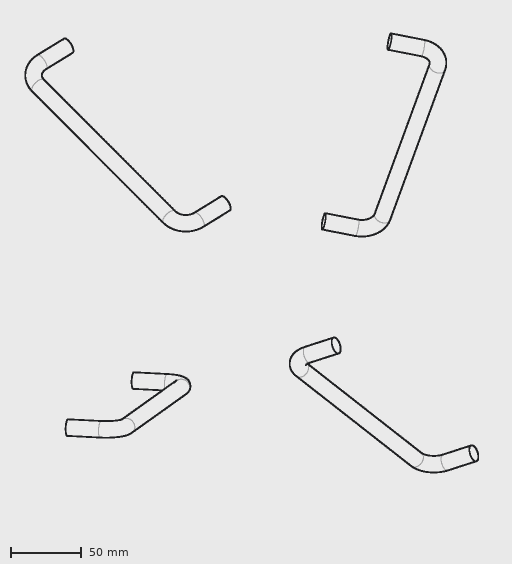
import cadquery as cq

length = 192.0
depth = 45.0
rod_diameter = 12.0
bend_radius = 15.0

rod_radius = rod_diameter / 2
leg_x = length / 2 - rod_radius
grip_y = -(depth - rod_radius)
bend_start_y = grip_y + bend_radius
grip_end_x = leg_x - bend_radius

centreline = (
    cq.Workplane("XY")
    .moveTo(-leg_x, 0)
    .lineTo(-leg_x, bend_start_y)
    .radiusArc((-grip_end_x, grip_y), -bend_radius)
    .lineTo(grip_end_x, grip_y)
    .radiusArc((leg_x, bend_start_y), -bend_radius)
    .lineTo(leg_x, 0)
)

result = (
    cq.Workplane("XZ", origin=(-leg_x, 0, 0))
    .circle(rod_radius)
    .sweep(centreline)
)